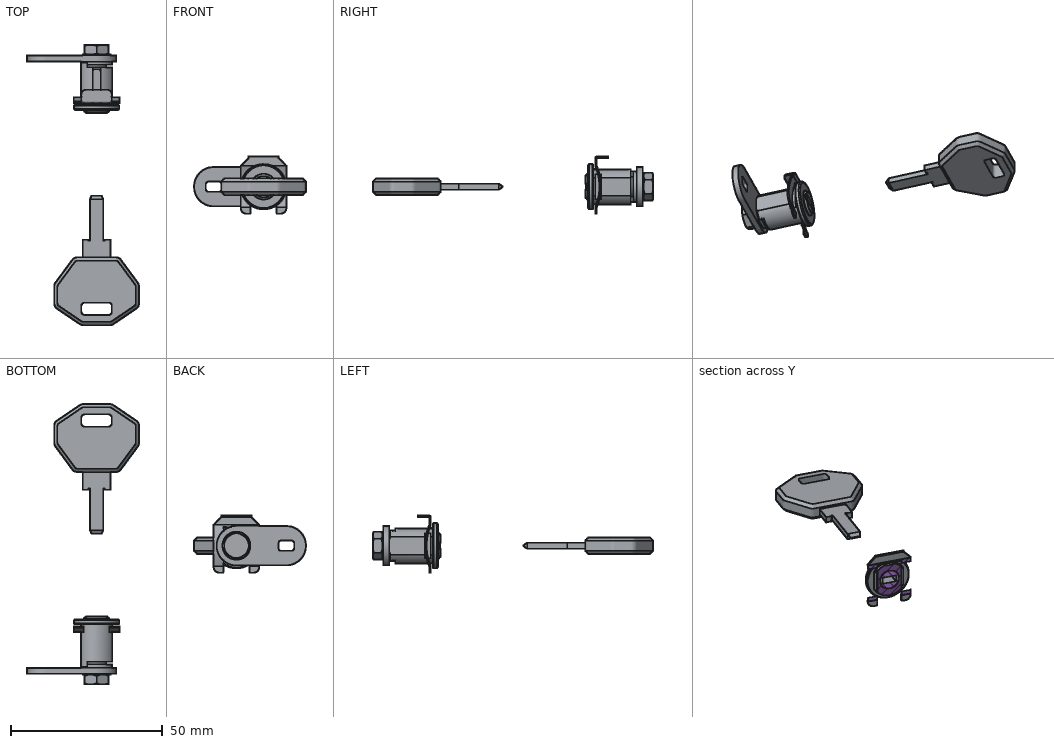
import cadquery as cq
import math


BOLT_FLANGE_REAR = 3.1
CAM_REAR = 3.4
CAM_FRONT = 5.5
STOP_PLATE_FRONT = 6.6
BARREL_REAR = 7.4
CLIP_GROOVE_REAR = 17.1
CLIP_FRONT = 19.1
FLANGE_REAR = 19.8
FLANGE_FRONT = 21.5
PLUG_FRONT = 22.5

HEX_CORNER_RADIUS = 4.6
HEX_CHAMFER_AXIAL = 0.4
HEX_CHAMFER_RADIAL = 0.6
BOLT_FLANGE_RADIUS = 4.6

CAM_RADIUS = 13.0 / 2
CAM_SLOT_X = -16.5
CAM_SLOT_LENGTH = 5.2
CAM_SLOT_HEIGHT = 3.3
CAM_SLOT_CORNER = 0.9

BARREL_RADIUS = 11.9 / 2
BARREL_FLAT_X = 5.2
REAR_STOP_X = -3.05
REAR_STOP_CHAMFER = 0.4
FLANGE_RADIUS = 7.5
FLANGE_REAR_CHAMFER = 0.3
FLANGE_FRONT_CHAMFER = 0.5
CLIP_GROOVE_X = 4.25
TOP_GROOVE_WIDTH = 2.6
TOP_GROOVE_FLOOR_Z = 5.55
TOP_FLAT_Z = 5.7
TOP_GROOVE_REAR = 7.95
TOP_GROOVE_CORNER = 0.7

PLUG_RADIUS = 3.2
PLUG_HEAD_RADIUS = 4.25
PLUG_HEAD_CHAMFER = 0.7
STOP_PLATE_RADIUS = 5.1
HEAD_SLOT_FLOOR = 22.2

CLIP_THICKNESS = 0.6
CLIP_HALF_WIDTH = 7.6
CLIP_TOP_Z = 10.0
CLIP_BOTTOM_Z = -9.0
CLIP_FOLD_Z = 6.8
CLIP_BOW = 1.4
CLIP_TAB_REAR = 14.8
CLIP_TAB_HALF_WIDTH = 5.0
CLIP_TAB_CORNER = 1.5
CLIP_BEND_RADIUS = 0.65
CLIP_SLOT_TOP_Z = 6.1
LEG_OUTER_CORNER = 2.0
LEG_INNER_CORNER = 0.4

BLADE_TIP = 49.7
BLADE_SHOULDER = 64.2
BLADE_WIDTH = 4.4
BLADE_THICKNESS = 2.0
BLADE_HEEL_WIDTH = 9.25
BLADE_TIP_LENGTH = 1.2
BLADE_TIP_SIDE_CHAMFER = 0.6
BLADE_TIP_EDGE = 0.2
SHOULDER_RELIEF_WIDTH = 0.5
SHOULDER_RELIEF_DEPTH = 0.4

BOW_REAR = 70.0
BOW_FRONT = 92.5
BOW_HALF_WIDTH = 28.0 / 2
BOW_SIDE_REAR = 79.0
BOW_SIDE_FRONT = 86.4
BOW_REAR_HALF_WIDTH = 7.4
BOW_FRONT_HALF_WIDTH = 5.0
BOW_THICKNESS = 5.55
BOW_CORNER = 2.0
BOW_CHAMFER = 1.1
BOW_HOLE_LENGTH = 10.0
BOW_HOLE_WIDTH = 4.0
BOW_HOLE_STATION = 87.0
BOW_HOLE_CORNER = 1.0


def across(station):
    """Plane square to the lock axis; extruding from it runs forward, to larger stations."""
    return cq.Workplane("XZ", origin=(0, -station, 0))


def disc(radius, rear, front):
    return across(rear).circle(radius).extrude(front - rear)


def block(x_range, station_range, z_range):
    """Box between pairs of limits along X, the stations and Z."""
    x0, x1 = x_range
    rear, front = station_range
    z0, z1 = z_range
    return cq.Workplane("XY").box(x1 - x0, front - rear, z1 - z0, centered=False).translate((x0, -front, z0))


def make_bolt():
    hexagon = across(0).transformed(rotate=(0, 0, 90)).polygon(6, 2 * HEX_CORNER_RADIUS)
    head = hexagon.extrude(BOLT_FLANGE_REAR)
    envelope = (
        disc(HEX_CORNER_RADIUS, 0, BOLT_FLANGE_REAR)
        .faces(">Y or <Y")
        .chamfer(HEX_CHAMFER_AXIAL, HEX_CHAMFER_RADIAL)
    )
    return head.intersect(envelope).union(disc(BOLT_FLANGE_RADIUS, BOLT_FLANGE_REAR, CAM_REAR))


def make_cam():
    thickness = CAM_FRONT - CAM_REAR
    plate = (
        across(CAM_REAR)
        .center(CAM_SLOT_X / 2, 0)
        .slot2D(2 * CAM_RADIUS - CAM_SLOT_X, 2 * CAM_RADIUS)
        .extrude(thickness)
    )
    slot = (
        across(CAM_REAR)
        .center(CAM_SLOT_X, 0)
        .rect(CAM_SLOT_LENGTH, CAM_SLOT_HEIGHT)
        .extrude(thickness)
        .edges("|Y")
        .fillet(CAM_SLOT_CORNER)
    )
    return plate.cut(slot)


def make_housing():
    reach = 2 * FLANGE_RADIUS

    barrel = disc(BARREL_RADIUS, CAM_FRONT, FLANGE_REAR).faces(">Y").chamfer(REAR_STOP_CHAMFER)
    barrel = barrel.cut(block((REAR_STOP_X, reach), (CAM_FRONT, BARREL_REAR), (-reach, reach)))
    for side in (-1, 1):
        beyond_flat = sorted((side * BARREL_FLAT_X, side * reach))
        beyond_groove = sorted((side * CLIP_GROOVE_X, side * reach))
        barrel = barrel.cut(block(beyond_flat, (CAM_FRONT, FLANGE_REAR), (-reach, reach)))
        barrel = barrel.cut(block(beyond_groove, (CLIP_GROOVE_REAR, CLIP_FRONT), (-reach, reach)))

    groove_x = (-TOP_GROOVE_WIDTH / 2, TOP_GROOVE_WIDTH / 2)
    groove_end = FLANGE_REAR - TOP_GROOVE_CORNER
    top_groove = block(groove_x, (TOP_GROOVE_REAR, FLANGE_REAR), (TOP_GROOVE_FLOOR_Z, BARREL_RADIUS))
    top_flat = block(groove_x, (BARREL_REAR, groove_end), (TOP_FLAT_Z, BARREL_RADIUS))
    barrel = barrel.cut(top_groove.edges("|Z").fillet(TOP_GROOVE_CORNER)).cut(top_flat)

    flange = (
        disc(FLANGE_RADIUS, FLANGE_REAR, FLANGE_FRONT)
        .faces(">Y")
        .chamfer(FLANGE_REAR_CHAMFER)
        .faces("<Y")
        .chamfer(FLANGE_FRONT_CHAMFER)
    )
    return barrel.union(flange).cut(disc(PLUG_RADIUS, CAM_FRONT, FLANGE_FRONT))


def make_plug():
    core = disc(PLUG_RADIUS, CAM_FRONT, FLANGE_FRONT)
    stop_plate = (
        across(CAM_FRONT)
        .moveTo(0, STOP_PLATE_RADIUS)
        .threePointArc((STOP_PLATE_RADIUS, 0), (0, -STOP_PLATE_RADIUS))
        .lineTo(REAR_STOP_X, -STOP_PLATE_RADIUS)
        .lineTo(REAR_STOP_X, STOP_PLATE_RADIUS)
        .close()
        .extrude(STOP_PLATE_FRONT - CAM_FRONT)
    )
    head = disc(PLUG_HEAD_RADIUS, FLANGE_FRONT, PLUG_FRONT).faces("<Y").chamfer(PLUG_HEAD_CHAMFER)

    slot_half_height = BLADE_THICKNESS / 2
    slot_half_width = BLADE_WIDTH / 2
    slot_z = (-slot_half_height, slot_half_height)
    keyhole_end = PLUG_FRONT - (BLADE_SHOULDER - BLADE_TIP)
    keyhole = block((-slot_half_width, slot_half_width), (keyhole_end, PLUG_FRONT), slot_z)
    head_slot = block((-PLUG_HEAD_RADIUS, PLUG_HEAD_RADIUS), (HEAD_SLOT_FLOOR, PLUG_FRONT), slot_z)
    return core.union(stop_plate).union(head).cut(keyhole).cut(head_slot)


def make_clip():
    front_y = -CLIP_FRONT
    rear_y = front_y + CLIP_THICKNESS
    bend = CLIP_BEND_RADIUS
    diagonal = bend * (1 - math.sqrt(0.5))
    sheet = (
        cq.Workplane("YZ", origin=(-CLIP_HALF_WIDTH, 0, 0))
        .moveTo(front_y, CLIP_BOTTOM_Z)
        .lineTo(front_y, -CLIP_FOLD_Z)
        .threePointArc((front_y + CLIP_BOW, 0), (front_y, CLIP_FOLD_Z))
        .lineTo(front_y, CLIP_TOP_Z - bend)
        .threePointArc((front_y + diagonal, CLIP_TOP_Z - diagonal), (front_y + bend, CLIP_TOP_Z))
        .lineTo(-CLIP_TAB_REAR, CLIP_TOP_Z)
        .lineTo(-CLIP_TAB_REAR, CLIP_TOP_Z - CLIP_THICKNESS)
        .lineTo(rear_y, CLIP_TOP_Z - CLIP_THICKNESS)
        .lineTo(rear_y, CLIP_FOLD_Z)
        .threePointArc((rear_y + CLIP_BOW, 0), (rear_y, -CLIP_FOLD_Z))
        .lineTo(rear_y, CLIP_BOTTOM_Z)
        .close()
        .extrude(2 * CLIP_HALF_WIDTH)
    )

    depth = CLIP_FRONT - CLIP_TAB_REAR
    outline = (
        across(CLIP_TAB_REAR)
        .polyline([
            (-CLIP_HALF_WIDTH, CLIP_BOTTOM_Z),
            (CLIP_HALF_WIDTH, CLIP_BOTTOM_Z),
            (CLIP_HALF_WIDTH, CLIP_FOLD_Z),
            (CLIP_TAB_HALF_WIDTH, CLIP_TOP_Z - CLIP_THICKNESS),
            (CLIP_TAB_HALF_WIDTH, CLIP_TOP_Z),
            (-CLIP_TAB_HALF_WIDTH, CLIP_TOP_Z),
            (-CLIP_TAB_HALF_WIDTH, CLIP_TOP_Z - CLIP_THICKNESS),
            (-CLIP_HALF_WIDTH, CLIP_FOLD_Z),
        ])
        .close()
        .extrude(depth)
    )
    outline = outline.cut(
        block(
            (-CLIP_GROOVE_X, CLIP_GROOVE_X),
            (CLIP_TAB_REAR, CLIP_FRONT),
            (CLIP_BOTTOM_Z, CLIP_SLOT_TOP_Z),
        )
    )
    leg_corners = (
        (CLIP_HALF_WIDTH, LEG_OUTER_CORNER),
        (CLIP_GROOVE_X, LEG_INNER_CORNER),
    )
    for corner_x, corner_radius in leg_corners:
        for x in (-corner_x, corner_x):
            corner = cq.NearestToPointSelector((x, -CLIP_TAB_REAR - depth / 2, CLIP_BOTTOM_Z))
            outline = outline.edges("|Y").edges(corner).fillet(corner_radius)
    clip = sheet.intersect(outline)
    return clip.edges("|Z and >Y").fillet(CLIP_TAB_CORNER)


def make_key_blade():
    half = BLADE_WIDTH / 2
    heel_half = BLADE_HEEL_WIDTH / 2
    tip_half = half - BLADE_TIP_SIDE_CHAMFER
    relief_x = half + SHOULDER_RELIEF_WIDTH
    relief_y = -(BLADE_SHOULDER + SHOULDER_RELIEF_DEPTH)
    right_side = [
        (tip_half, -BLADE_TIP),
        (half, -BLADE_TIP - BLADE_TIP_LENGTH),
        (half, relief_y),
        (relief_x, relief_y),
        (relief_x, -BLADE_SHOULDER),
        (heel_half, -BLADE_SHOULDER),
        (heel_half, -BOW_REAR),
    ]
    left_side = [(-x, y) for x, y in reversed(right_side)]
    plan = (
        cq.Workplane("XY")
        .polyline(right_side + left_side)
        .close()
        .extrude(BLADE_THICKNESS / 2, both=True)
    )
    upper_side = [
        (-BLADE_TIP, BLADE_TIP_EDGE / 2),
        (-BLADE_TIP - BLADE_TIP_LENGTH, BLADE_THICKNESS / 2),
        (-BOW_REAR, BLADE_THICKNESS / 2),
    ]
    lower_side = [(y, -z) for y, z in reversed(upper_side)]
    wedge = cq.Workplane("YZ").polyline(upper_side + lower_side).close().extrude(heel_half, both=True)
    return plan.intersect(wedge)


def make_key_bow():
    right_side = [
        (BOW_REAR_HALF_WIDTH, -BOW_REAR),
        (BOW_HALF_WIDTH, -BOW_SIDE_REAR),
        (BOW_HALF_WIDTH, -BOW_SIDE_FRONT),
        (BOW_FRONT_HALF_WIDTH, -BOW_FRONT),
    ]
    left_side = [(-x, y) for x, y in reversed(right_side)]
    bow = (
        cq.Workplane("XY")
        .polyline(right_side + left_side)
        .close()
        .extrude(BOW_THICKNESS / 2, both=True)
        .edges("|Z")
        .fillet(BOW_CORNER)
        .faces("<Z or >Z")
        .chamfer(BOW_CHAMFER)
    )
    hole = (
        cq.Workplane("XY")
        .center(0, -BOW_HOLE_STATION)
        .rect(BOW_HOLE_LENGTH, BOW_HOLE_WIDTH)
        .extrude(BOW_THICKNESS / 2, both=True)
        .edges("|Z")
        .fillet(BOW_HOLE_CORNER)
    )
    return bow.cut(hole)


bolt = make_bolt()
cam = make_cam()
housing = make_housing()
plug = make_plug()
clip = make_clip()
key_blade = make_key_blade()
key_bow = make_key_bow()

result = cq.Compound.makeCompound([
    bolt.solids().val(),
    cam.solids().val(),
    housing.solids().val(),
    plug.solids().val(),
    clip.solids().val(),
    key_blade.solids().val(),
    key_bow.solids().val(),
])